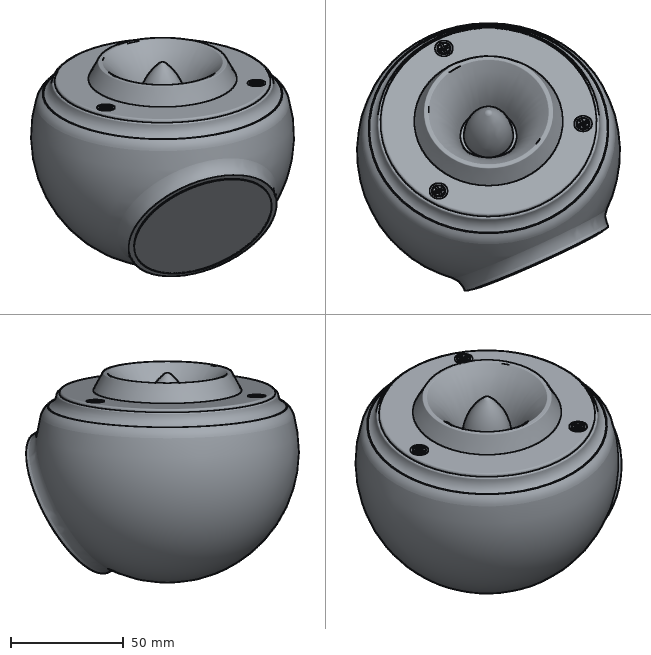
import cadquery as cq
import math

ball_radius = 58.5
neck_rim_z = 26.0
neck_rim_radius = 48.5
neck_rim_round = 0.8
neck_cove_radius = 6.5
neck_foot_radius = 52.9
neck_foot_z = 20.2
ledge_radius = 53.3
shoulder_radius = 54.0
shoulder_z = neck_foot_z - (shoulder_radius - ledge_radius)
shoulder_tangent_z = 15.8

port_tilt = 30.0
port_radius = 35.0
port_face_distance = 52.2
port_fillet = 7.5

disc_radius = 32.5
disc_depth = 2.5
disc_stand_off = 0.5

plate_radius = 48.0
plate_top_z = 27.4
plate_thickness = 3.5
plate_edge_round = 1.0
mouth_base_radius = 33.0
mouth_top_radius = 28.65
mouth_height = 8.1
mouth_inner_radius = 26.75
mouth_edge_round = 0.4
flare_radius = 42.0
throat_radius = 12.5
throat_floor_z = 14.0
horn_neck_radius = 20.0
horn_floor_thickness = 3.0

plug_radius = 11.0
plug_ogive_radius = 27.5
plug_tip_radius = 1.6

screw_count = 3
screw_circle_radius = 42.0
screw_sink_radius = 4.0
screw_sink_depth = 2.0
screw_shank_radius = 2.0
screw_length = 10.0
screw_head_radius = 3.0
screw_head_height = 0.3
screw_head_chamfer = 0.4
cross_slot_width = 1.1
cross_slot_depth = 1.2

plate_seat_z = plate_top_z - plate_thickness
mouth_top_z = plate_top_z + mouth_height
horn_bottom_z = throat_floor_z - horn_floor_thickness


def revolve_about_z(outline):
    """Turn a closed radius-height outline once around the Z axis."""
    return outline.close().revolve(360, (0, 0, 0), (0, 1, 0))


def along_port(distance):
    """Workplane square to the port axis at a distance from the ball centre."""
    tilt = math.radians(port_tilt)
    direction = cq.Vector(math.cos(tilt), 0, -math.sin(tilt))
    plane = cq.Plane(origin=direction * distance, xDir=(0, 1, 0), normal=direction)
    return cq.Workplane(plane)


def make_ball():
    """Ball with the stepped and rounded neck that frames the horn plate."""
    rim_wall_radius = neck_rim_radius + neck_rim_round
    rim_wall_z = neck_rim_z - neck_rim_round
    round_offset = neck_rim_round * math.sqrt(0.5)
    round_middle = (neck_rim_radius + round_offset, rim_wall_z + round_offset)
    tangent_radius = math.sqrt(ball_radius**2 - shoulder_tangent_z**2)
    ball_middle = (ball_radius * math.sqrt(0.5), -ball_radius * math.sqrt(0.5))
    outline = (
        cq.Workplane("XZ")
        .moveTo(0, -ball_radius)
        .threePointArc(ball_middle, (ball_radius, 0))
        .radiusArc((tangent_radius, shoulder_tangent_z), -ball_radius)
        .tangentArcPoint((shoulder_radius, shoulder_z), relative=False)
        .lineTo(ledge_radius, neck_foot_z)
        .lineTo(neck_foot_radius, neck_foot_z)
        .radiusArc((rim_wall_radius, rim_wall_z), neck_cove_radius)
        .threePointArc(round_middle, (neck_rim_radius, neck_rim_z))
        .lineTo(0, neck_rim_z)
    )
    return revolve_about_z(outline)


def add_port(ball):
    """Join the port collar to the ball, trim the ball at its face and round the joint."""
    ball = ball.rotate((0, 0, 0), (0, 0, 1), 180)
    collar = along_port(0).circle(port_radius).extrude(port_face_distance)
    joint_distance = math.sqrt(ball_radius**2 - port_radius**2)
    joint_centre = along_port(joint_distance).val()
    joint_edge = cq.selectors.NearestToPointSelector(joint_centre.toTuple())
    cap = along_port(port_face_distance).circle(ball_radius).extrude(ball_radius)
    return ball.union(collar).cut(cap).edges(joint_edge).fillet(port_fillet)


def make_disc():
    """Flat disc that fills the port and stands a little proud of its face."""
    disc_back = along_port(port_face_distance - disc_depth)
    return disc_back.circle(disc_radius).extrude(disc_depth + disc_stand_off)


def make_horn_blank():
    """Horn outside shape with a solid mouth, used for the horn and for its seat."""
    edge_inset = plate_edge_round * (1 - math.sqrt(0.5))
    edge_middle = (plate_radius - edge_inset, plate_top_z - edge_inset)
    outline = (
        cq.Workplane("XZ")
        .moveTo(0, horn_bottom_z)
        .lineTo(horn_neck_radius, horn_bottom_z)
        .lineTo(horn_neck_radius, plate_seat_z)
        .lineTo(plate_radius, plate_seat_z)
        .lineTo(plate_radius, plate_top_z - plate_edge_round)
        .threePointArc(edge_middle, (plate_radius - plate_edge_round, plate_top_z))
        .lineTo(mouth_base_radius, plate_top_z)
        .lineTo(mouth_top_radius, mouth_top_z)
        .lineTo(0, mouth_top_z)
    )
    return revolve_about_z(outline)


def make_horn():
    """Horn with its curved flare and rounded lip."""
    flare = revolve_about_z(
        cq.Workplane("XZ")
        .moveTo(0, throat_floor_z)
        .lineTo(throat_radius, throat_floor_z)
        .radiusArc((mouth_inner_radius, mouth_top_z), flare_radius)
        .lineTo(0, mouth_top_z)
    )
    horn = make_horn_blank().cut(flare)
    return horn.faces(">Z").edges().fillet(mouth_edge_round)


def make_plug():
    """Ogive that rises upright from the throat floor."""
    arc_centre_r = plug_radius - plug_ogive_radius

    def ogive_height(radius):
        return throat_floor_z + math.sqrt(plug_ogive_radius**2 - (radius - arc_centre_r) ** 2)

    tip_z = ogive_height(plug_tip_radius)
    dome_radius = plug_ogive_radius * plug_tip_radius / (plug_tip_radius - arc_centre_r)
    dome_centre_z = tip_z - dome_radius * (tip_z - throat_floor_z) / plug_ogive_radius
    outline = (
        cq.Workplane("XZ")
        .moveTo(0, throat_floor_z)
        .lineTo(plug_radius, throat_floor_z)
        .radiusArc((plug_tip_radius, tip_z), -plug_ogive_radius)
        .radiusArc((0, dome_centre_z + dome_radius), -dome_radius)
    )
    return revolve_about_z(outline)


def make_screw_shape():
    """Countersunk screw without its cross, plate surface level at z = 0."""
    outline = (
        cq.Workplane("XZ")
        .moveTo(0, -screw_length)
        .lineTo(screw_shank_radius, -screw_length)
        .lineTo(screw_shank_radius, -screw_sink_depth)
        .lineTo(screw_sink_radius, 0)
        .lineTo(screw_head_radius, 0)
        .lineTo(screw_head_radius - screw_head_chamfer, screw_head_height)
        .lineTo(0, screw_head_height)
    )
    return revolve_about_z(outline)


def make_screw():
    """Screw with a cross recess whose four arms slope down to the middle."""
    arm_reach = screw_head_radius - screw_head_chamfer
    arm = (
        cq.Workplane("XZ")
        .moveTo(-arm_reach, screw_head_height)
        .lineTo(0, screw_head_height - cross_slot_depth)
        .lineTo(arm_reach, screw_head_height)
        .close()
        .extrude(cross_slot_width / 2, both=True)
    )
    return make_screw_shape().cut(arm).cut(arm.rotate((0, 0, 0), (0, 0, 1), 90))


def at_screw_places(shape):
    """Copies of a shape on the screw circle, one of them on the -X side."""
    places = []
    for index in range(screw_count):
        angle = math.radians(180 + index * 360 / screw_count)
        x = screw_circle_radius * math.cos(angle)
        y = screw_circle_radius * math.sin(angle)
        places.append(shape.translate((x, y, plate_top_z)))
    return places


disc = make_disc()
plug = make_plug()
screws = at_screw_places(make_screw())

housing = add_port(make_ball()).cut(make_horn_blank()).cut(disc)
horn = make_horn()
for screw_hole in at_screw_places(make_screw_shape()):
    housing = housing.cut(screw_hole)
    horn = horn.cut(screw_hole)

result = cq.Compound.makeCompound(
    [housing.val(), horn.val(), plug.val(), disc.val(), *[screw.val() for screw in screws]]
)